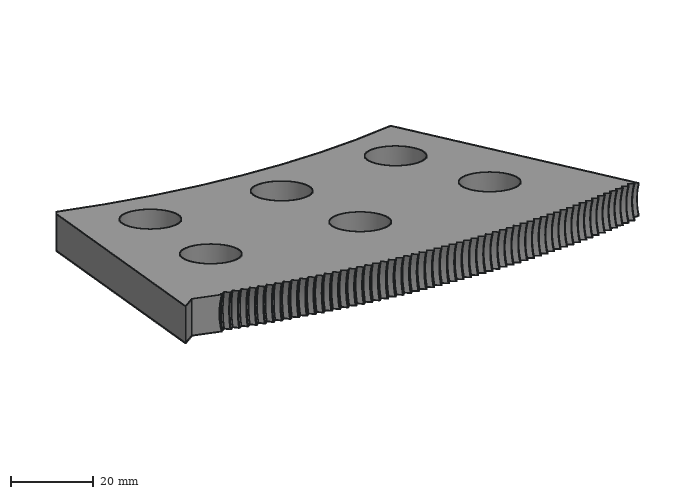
import cadquery as cq
import math

thickness = 9.5
sector_angle = 30.0
inner_radius = 204.3
tip_radius = 278.8
corner_radius = 2.9

tail_tip_x = 283.6
tail_root_x = 279.0
tail_root_y = 3.8
tail_top_y = 11.7

hole_diameter = 15.0
hole_rows = (220.4, 250.6)
hole_angles = (5.0, 15.0, 25.0)

teeth_per_turn = 744
tooth_depth = 1.1
throat_depth = 0.7
groove_fill = 0.9
disc_sweep = 60.0
first_groove_angle = 2.7

inner_bevel = 0.8
end_bevel_width = 1.4
end_bevel_height = 0.5

overlap = 1.4
half_thickness = thickness / 2
worm_radius = (half_thickness**2 + throat_depth**2) / (2 * throat_depth)
throat_radius = tip_radius - throat_depth
worm_distance = throat_radius + worm_radius
left_corner_x = inner_radius * math.cos(math.radians(sector_angle))


def polar(radius, degrees):
    angle = math.radians(degrees)
    return radius * math.cos(angle), radius * math.sin(angle)


def sector_plate():
    tail_top_x = math.sqrt(tip_radius**2 - tail_top_y**2)
    tail_angle = math.degrees(math.atan2(tail_top_y, tail_top_x))
    plate = (
        cq.Workplane("XY")
        .moveTo(inner_radius, 0)
        .lineTo(tail_tip_x, 0)
        .lineTo(tail_root_x, tail_root_y)
        .lineTo(tail_root_x, tail_top_y)
        .lineTo(tail_top_x, tail_top_y)
        .threePointArc(
            polar(tip_radius, (tail_angle + sector_angle) / 2),
            polar(tip_radius, sector_angle),
        )
        .lineTo(*polar(inner_radius, sector_angle))
        .threePointArc(polar(inner_radius, sector_angle / 2), (inner_radius, 0))
        .close()
        .extrude(thickness)
    )
    for corner_angle in (0, sector_angle):
        corner = polar(inner_radius, corner_angle) + (half_thickness,)
        edge = plate.edges("|Z").edges(cq.selectors.NearestToPointSelector(corner))
        plate = plate.newObject([plate.findSolid().fillet(corner_radius, edge.vals())])
    return plate


def hole_cutters():
    centres = [polar(radius, angle) for radius in hole_rows for angle in hole_angles]
    return cq.Workplane("XY").pushPoints(centres).circle(hole_diameter / 2).extrude(thickness)


def inner_bevel_cutter(face_z, inward):
    """Ring of triangular section along the concave edge; inward points into the plate."""
    return (
        cq.Workplane("XZ")
        .moveTo(inner_radius - overlap, face_z)
        .lineTo(inner_radius + inner_bevel, face_z)
        .lineTo(inner_radius, face_z + inward * inner_bevel)
        .lineTo(inner_radius - overlap, face_z + inward * inner_bevel)
        .close()
        .revolve(360, (0, 0, 0), (0, 1, 0))
    )


def end_bevel_cutter(face_z, inward):
    """Wedge along the slanted end, drawn across a radial line and then turned to it."""
    return (
        cq.Workplane("YZ")
        .moveTo(-end_bevel_width, face_z)
        .lineTo(0, face_z + inward * end_bevel_height)
        .lineTo(overlap, face_z + inward * end_bevel_height)
        .lineTo(overlap, face_z)
        .close()
        .extrude(tip_radius + overlap)
        .rotate((0, 0, 0), (0, 0, 1), sector_angle)
    )


def throat_cutter():
    """Shallow concave band around the rim, starting where the tail ends."""
    start_angle = math.degrees(math.asin(tail_top_y / tip_radius))
    return (
        cq.Workplane("XZ")
        .moveTo(tip_radius, 0)
        .threePointArc((throat_radius, half_thickness), (tip_radius, thickness))
        .lineTo(tip_radius + overlap, thickness)
        .lineTo(tip_radius + overlap, 0)
        .close()
        .revolve(sector_angle, (0, 0, 0), (0, 1, 0))
        .rotate((0, 0, 0), (0, 0, 1), start_angle)
    )


def groove_cutters():
    """One V-rimmed disc segment per tooth gap, each swept about the worm axis."""
    pitch_angle = 360 / teeth_per_turn
    half_pitch = tip_radius * math.radians(pitch_angle) / 2
    root_x = throat_radius - tooth_depth
    open_x = tip_radius + overlap
    half_opening = half_pitch * groove_fill * (open_x - root_x) / tooth_depth
    disc = (
        cq.Workplane("XY", origin=(0, 0, half_thickness))
        .moveTo(root_x, 0)
        .lineTo(open_x, half_opening)
        .lineTo(open_x, -half_opening)
        .close()
        .revolve(disc_sweep, (worm_distance, 0, 0), (worm_distance, 1, 0))
        .rotate((worm_distance, 0, half_thickness), (worm_distance, 1, half_thickness), -disc_sweep / 2)
        .val()
    )
    count = math.floor((sector_angle - first_groove_angle) / pitch_angle) + 1
    return [
        disc.rotate(cq.Vector(0, 0, 0), cq.Vector(0, 0, 1), first_groove_angle + index * pitch_angle)
        for index in range(count)
    ]


plate = sector_plate().cut(hole_cutters())
for face_z, inward in ((0, 1), (thickness, -1)):
    plate = plate.cut(inner_bevel_cutter(face_z, inward))
    plate = plate.cut(end_bevel_cutter(face_z, inward))
plate = plate.cut(throat_cutter())
toothed = plate.val().cut(*groove_cutters())

result = cq.Workplane("XY").newObject(toothed.Solids()).translate((-left_corner_x, 0, 0))